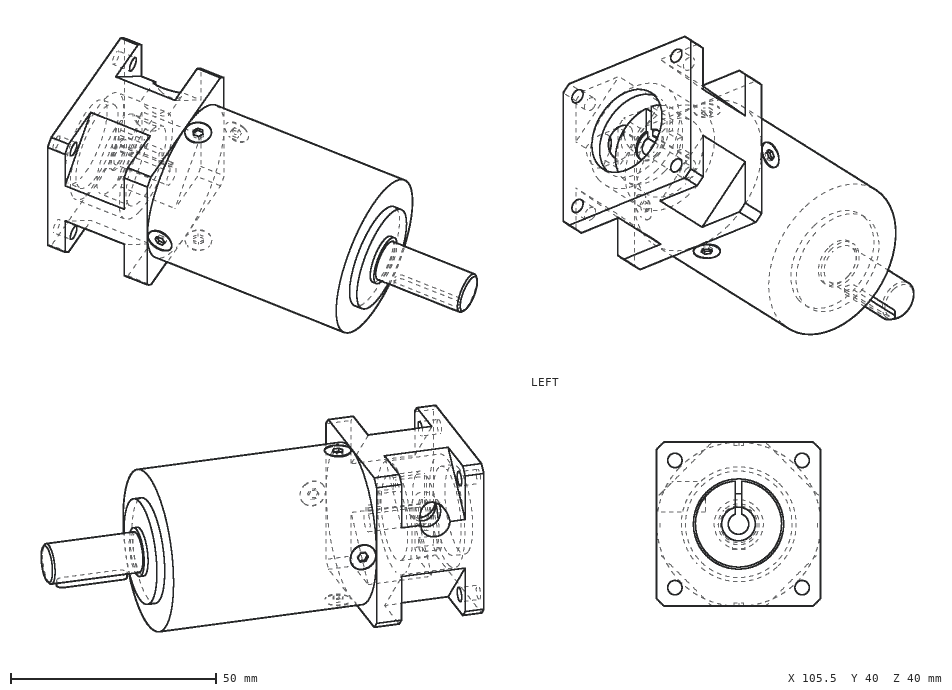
import cadquery as cq
import math


FLANGE_SIDE = 40.0
FLANGE_TURNED_DIAMETER = 54.0
FRONT_FLANGE_THICKNESS = 4.8
REAR_FLANGE_START = 21.1
ADAPTER_LENGTH = 27.5
NECK_FLAT_WIDTH = 13.0
MOTOR_HOLE_SPACING = 31.0
MOTOR_HOLE_DIAMETER = 3.5

PILOT_DIAMETER = 22.0
PILOT_DEPTH = 3.0
HUB_BORE_DIAMETER = 28.0
HUB_DIAMETER = 21.0
HUB_FACE_X = 8.5
HUB_GAP_DEPTH = 8.0
SLEEVE_DIAMETER = 8.2
SLEEVE_SETBACK = 0.5
MOTOR_SHAFT_DIAMETER = 5.0
MOTOR_SHAFT_DEPTH = 15.0

SLIT_WIDTH = 1.6
SLIT_STEP_HEIGHT = 7.4
SLIT_MIDDLE_DEPTH = 12.0

ACCESS_DIAMETER = 7.5
ACCESS_X = 12.4
ACCESS_Z = 6.7

BODY_DIAMETER = 40.0
BODY_END_X = 79.5
OUTPUT_PILOT_DIAMETER = 26.0
OUTPUT_PILOT_LENGTH = 2.0
SHOULDER_DIAMETER = 12.0
SHOULDER_LENGTH = 1.0
SHAFT_DIAMETER = 10.0
SHAFT_END_X = 105.5
SHAFT_CHAMFER = 0.5

KEY_LENGTH = 18.0
KEY_WIDTH = 3.0
KEY_START_X = 85.0
KEY_PROJECTION = 1.2
KEY_HEIGHT = 3.0

SCREW_COUNT = 4
SCREW_X = 30.95
SCREW_HEAD_DIAMETER = 6.5
SCREW_HEAD_HEIGHT = 2.0
SOCKET_ACROSS_FLATS = 2.3
SOCKET_SIDES = 6
SOCKET_DEPTH = 0.8


def disc(start_x, end_x, diameter):
    """Solid cylinder on the X axis between two X positions."""
    return cq.Workplane("YZ", origin=(start_x, 0, 0)).circle(diameter / 2).extrude(end_x - start_x)


def square_block(start_x, end_x):
    """Square block of the flange side, centred on the X axis."""
    plane = cq.Workplane("YZ", origin=(start_x, 0, 0))
    return plane.rect(FLANGE_SIDE, FLANGE_SIDE).extrude(end_x - start_x)


def make_flange(start_x, end_x):
    """Square flange whose corners are turned down to a common diameter."""
    return square_block(start_x, end_x).intersect(disc(start_x, end_x, FLANGE_TURNED_DIAMETER))


def make_adapter():
    """Two square flanges joined by a neck with large corner flats."""
    front = make_flange(0, FRONT_FLANGE_THICKNESS)
    rear = make_flange(REAR_FLANGE_START, ADAPTER_LENGTH)
    corner_cut = (FLANGE_SIDE - NECK_FLAT_WIDTH) / 2
    neck = square_block(FRONT_FLANGE_THICKNESS, REAR_FLANGE_START).edges("|X").chamfer(corner_cut)
    motor_holes = (
        cq.Workplane("YZ")
        .rect(MOTOR_HOLE_SPACING, MOTOR_HOLE_SPACING, forConstruction=True)
        .vertices()
        .circle(MOTOR_HOLE_DIAMETER / 2)
        .extrude(FRONT_FLANGE_THICKNESS)
    )
    return front.union(neck).union(rear).cut(motor_holes)


def make_slit(top_z, depth):
    """Slot cutter running into the hub face from the axis up to a height."""
    slit = cq.Workplane("XY").box(depth, SLIT_WIDTH, top_z, centered=(False, True, False))
    return slit.translate((HUB_FACE_X, 0, 0))


def make_motor_cavity():
    """Pilot bore, wider hub bore, gap round the hub, motor shaft hole and the stepped clamp slit."""
    gap_end_x = HUB_FACE_X + HUB_GAP_DEPTH
    shaft_end_x = HUB_FACE_X + MOTOR_SHAFT_DEPTH
    hub = disc(HUB_FACE_X, gap_end_x, HUB_DIAMETER)
    gap = disc(HUB_FACE_X, gap_end_x, HUB_BORE_DIAMETER).cut(hub)
    sleeve_slit = make_slit(SLEEVE_DIAMETER / 2, MOTOR_SHAFT_DEPTH)
    sleeve_slit = sleeve_slit.intersect(disc(HUB_FACE_X, shaft_end_x, SLEEVE_DIAMETER))
    return (
        disc(0, PILOT_DEPTH, PILOT_DIAMETER)
        .union(disc(PILOT_DEPTH, HUB_FACE_X, HUB_BORE_DIAMETER))
        .union(gap)
        .union(disc(HUB_FACE_X, HUB_FACE_X + SLEEVE_SETBACK, SLEEVE_DIAMETER))
        .union(disc(HUB_FACE_X, shaft_end_x, MOTOR_SHAFT_DIAMETER))
        .union(sleeve_slit)
        .union(make_slit(SLIT_STEP_HEIGHT, SLIT_MIDDLE_DEPTH))
        .union(make_slit(HUB_DIAMETER / 2, HUB_GAP_DEPTH))
    )


def make_access_hole():
    """Hole from the +Y side that reaches the hub beside its clamp slit."""
    hub_surface_y = math.sqrt((HUB_DIAMETER / 2) ** 2 - ACCESS_Z**2)
    plane = cq.Workplane("XZ", origin=(ACCESS_X, FLANGE_SIDE / 2, ACCESS_Z))
    return plane.circle(ACCESS_DIAMETER / 2).extrude(FLANGE_SIDE / 2 - hub_surface_y)


def make_gearbox():
    """Cylindrical housing, output pilot, shoulder and shaft."""
    pilot_end_x = BODY_END_X + OUTPUT_PILOT_LENGTH
    shoulder_end_x = pilot_end_x + SHOULDER_LENGTH
    shaft = disc(shoulder_end_x, SHAFT_END_X, SHAFT_DIAMETER).faces(">X").chamfer(SHAFT_CHAMFER)
    return (
        disc(ADAPTER_LENGTH, BODY_END_X, BODY_DIAMETER)
        .union(disc(BODY_END_X, pilot_end_x, OUTPUT_PILOT_DIAMETER))
        .union(disc(pilot_end_x, shoulder_end_x, SHOULDER_DIAMETER))
        .union(shaft)
    )


def make_key():
    """Round-ended key standing out of the -Z side of the shaft."""
    key_bottom_z = -(SHAFT_DIAMETER / 2 + KEY_PROJECTION)
    plane = cq.Workplane("XY", origin=(KEY_START_X + KEY_LENGTH / 2, 0, key_bottom_z))
    return plane.slot2D(KEY_LENGTH, KEY_WIDTH).extrude(KEY_HEIGHT)


def add_screws(body):
    """Flat screw heads with hexagon sockets, evenly spaced round the housing."""
    head_top = BODY_DIAMETER / 2
    socket_across_corners = SOCKET_ACROSS_FLATS / math.cos(math.pi / SOCKET_SIDES)
    head_plane = cq.Workplane("XY", origin=(SCREW_X, 0, head_top))
    head = head_plane.circle(SCREW_HEAD_DIAMETER / 2).extrude(-SCREW_HEAD_HEIGHT)
    socket = head_plane.polygon(SOCKET_SIDES, socket_across_corners).extrude(-SOCKET_DEPTH)
    for index in range(SCREW_COUNT):
        angle = index * 360 / SCREW_COUNT
        body = body.union(head.rotate((0, 0, 0), (1, 0, 0), angle))
        body = body.cut(socket.rotate((0, 0, 0), (1, 0, 0), angle))
    return body


adapter = make_adapter().cut(make_motor_cavity()).cut(make_access_hole())
result = add_screws(adapter.union(make_gearbox()).union(make_key()))